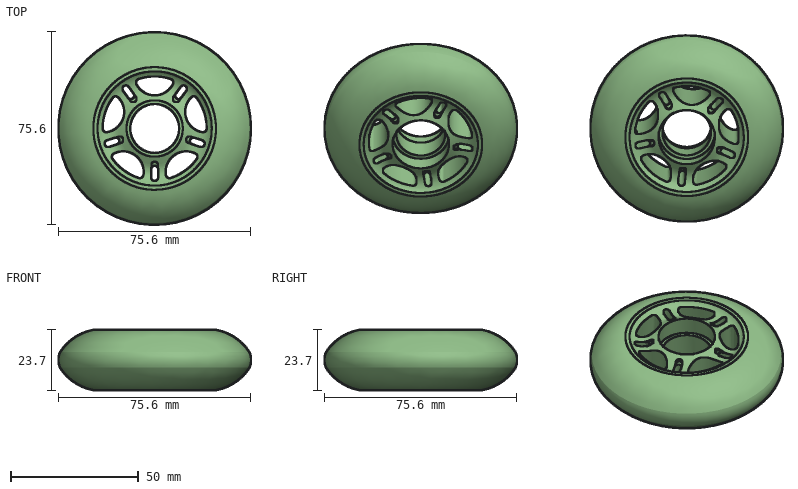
import cadquery as cq
import math

wheel_radius = 37.8
half_width = 11.85

tyre_inner_radius = 24.0
crown_half_width = 3.1
crown_edge_radius = 37.1
flank_mid = (31.95, 8.45)

rim_lip_radius = 22.35
cone_outer_radius = 14.2
cone_drop = 1.65

seat_radius = 11.0
seat_depth = 7.1
bore_radius = 9.5

spoke_count = 5
window_outer_radius = 20.3
window_inner_radius = 13.0
window_arc_radius = 8.0
window_corner_radius = 1.35
first_window_angle = 90.0

slot_width = 2.65
slot_outer_radius = 20.5
slot_inner_radius = 14.6
slot_recess_inner_radius = 13.0
slot_floor_depth = 2.2
slot_floor_slope = 11.0

spoke_pitch = 360.0 / spoke_count
first_slot_angle = first_window_angle + spoke_pitch / 2


def web_groove_middle():
    """Point halfway along the groove arc that leaves the hub cone tangentially and ends at the rim lip."""
    cone_length = math.hypot(cone_outer_radius - seat_radius, cone_drop)
    tangent_r = (cone_outer_radius - seat_radius) / cone_length
    tangent_z = -cone_drop / cone_length
    chord_r = rim_lip_radius - cone_outer_radius
    chord_z = cone_drop
    normal_r, normal_z = -tangent_z, tangent_r
    rise = chord_r * normal_r + chord_z * normal_z
    groove_radius = (chord_r**2 + chord_z**2) / (2 * rise)
    center_r = cone_outer_radius + groove_radius * normal_r
    center_z = half_width - cone_drop + groove_radius * normal_z
    chord_length = math.hypot(chord_r, chord_z)
    middle_r = center_r + groove_radius * chord_z / chord_length
    middle_z = center_z - groove_radius * chord_r / chord_length
    return middle_r, middle_z


def make_tyre():
    """Solid of revolution with a rounded crown, two bulging flanks and a plain cylindrical inside."""
    mid_r, mid_z = flank_mid
    profile = (
        cq.Workplane("XZ")
        .moveTo(tyre_inner_radius, -half_width)
        .threePointArc((mid_r, -mid_z), (crown_edge_radius, -crown_half_width))
        .threePointArc((wheel_radius, 0), (crown_edge_radius, crown_half_width))
        .threePointArc((mid_r, mid_z), (tyre_inner_radius, half_width))
        .close()
    )
    return profile.revolve(360, (0, 0, 0), (0, 1, 0))


def make_hub_blank():
    """Turned hub: bearing seats, bore, outer cones and a dished groove on each side."""
    seat_z = half_width - seat_depth
    cone_z = half_width - cone_drop
    groove_r, groove_z = web_groove_middle()
    profile = (
        cq.Workplane("XZ")
        .moveTo(bore_radius, -seat_z)
        .lineTo(seat_radius, -seat_z)
        .lineTo(seat_radius, -half_width)
        .lineTo(cone_outer_radius, -cone_z)
        .threePointArc((groove_r, -groove_z), (rim_lip_radius, -half_width))
        .lineTo(tyre_inner_radius, -half_width)
        .lineTo(tyre_inner_radius, half_width)
        .lineTo(rim_lip_radius, half_width)
        .threePointArc((groove_r, groove_z), (cone_outer_radius, cone_z))
        .lineTo(seat_radius, half_width)
        .lineTo(seat_radius, seat_z)
        .lineTo(bore_radius, seat_z)
        .close()
    )
    return profile.revolve(360, (0, 0, 0), (0, 1, 0))


def make_window():
    """Lens-shaped cutter on the +X axis: common part of two cylinders, with rounded corners."""
    bounds = cq.Workplane("XY").circle(window_outer_radius).extrude(half_width, both=True)
    lobe = (
        cq.Workplane("XY")
        .center(window_inner_radius + window_arc_radius, 0)
        .circle(window_arc_radius)
        .extrude(half_width, both=True)
    )
    lens = bounds.intersect(lobe)
    corners = cq.selectors.BoxSelector(
        (window_outer_radius / 2, -window_outer_radius, -half_width),
        (window_outer_radius, window_outer_radius, half_width),
    )
    return lens.edges("|Z").edges(corners).fillet(window_corner_radius)


def make_slot(inner_radius):
    """Full-height round-ended radial slot cutter on the +X axis."""
    return (
        cq.Workplane("XY")
        .center((inner_radius + slot_outer_radius) / 2, 0)
        .slot2D(slot_outer_radius - inner_radius, slot_width)
        .extrude(half_width, both=True)
    )


def make_slot_recess():
    """Inward extension of the slot on the upper face, with a floor that falls away from the hub axis."""
    floor_run = slot_outer_radius - slot_recess_inner_radius
    floor_inner_z = half_width - slot_floor_depth
    floor_outer_z = floor_inner_z - floor_run * math.tan(math.radians(slot_floor_slope))
    above_floor = (
        cq.Workplane("XZ")
        .moveTo(slot_recess_inner_radius, floor_inner_z)
        .lineTo(slot_outer_radius, floor_outer_z)
        .lineTo(slot_outer_radius, half_width)
        .lineTo(slot_recess_inner_radius, half_width)
        .close()
        .extrude(slot_width / 2, both=True)
    )
    return make_slot(slot_recess_inner_radius).intersect(above_floor)


def make_spoke_slot():
    """Through slot with a recess at its inner end on both faces of the hub."""
    recess = make_slot_recess()
    return make_slot(slot_inner_radius).union(recess).union(recess.mirror("XY"))


def make_hub():
    hub = make_hub_blank()
    window = make_window()
    spoke_slot = make_spoke_slot()
    for i in range(spoke_count):
        turn = i * spoke_pitch
        hub = hub.cut(window.rotate((0, 0, 0), (0, 0, 1), first_window_angle + turn))
        hub = hub.cut(spoke_slot.rotate((0, 0, 0), (0, 0, 1), first_slot_angle + turn))
    return hub


tyre = make_tyre()
hub = make_hub()
result = cq.Compound.makeCompound([tyre.val(), hub.val()])